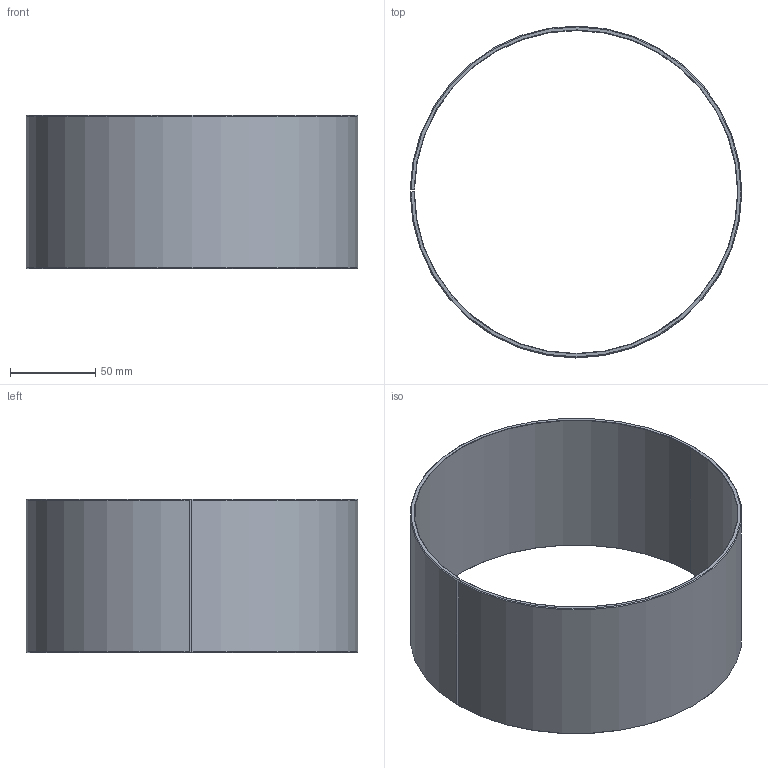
import cadquery as cq
import math

OUTER_DIAMETER = 195.0
WALL_THICKNESS = 2.5
HEIGHT = 90.0
OUTER_CHAMFER = 0.5
INNER_CHAMFER = 0.2
GAP_ANGLE = 1.0

FULL_TURN = 360.0

outer_radius = OUTER_DIAMETER / 2
inner_radius = outer_radius - WALL_THICKNESS


def make_ring():
    """Thin cylindrical band, chamfered on all four circular rims."""
    wall_section = (
        cq.Workplane("XZ")
        .moveTo(inner_radius + INNER_CHAMFER, 0)
        .lineTo(outer_radius - OUTER_CHAMFER, 0)
        .lineTo(outer_radius, OUTER_CHAMFER)
        .lineTo(outer_radius, HEIGHT - OUTER_CHAMFER)
        .lineTo(outer_radius - OUTER_CHAMFER, HEIGHT)
        .lineTo(inner_radius + INNER_CHAMFER, HEIGHT)
        .lineTo(inner_radius, HEIGHT - INNER_CHAMFER)
        .lineTo(inner_radius, INNER_CHAMFER)
        .close()
    )
    return wall_section.revolve(FULL_TURN, (0, 0, 0), (0, 1, 0))


def make_gap():
    """Full-height radial wedge through the -X wall, from the XZ plane towards +Y."""
    wedge_length = OUTER_DIAMETER
    wedge_width = wedge_length * math.tan(math.radians(GAP_ANGLE))
    return (
        cq.Workplane("XY")
        .lineTo(-wedge_length, 0)
        .lineTo(-wedge_length, wedge_width)
        .close()
        .extrude(HEIGHT)
    )


result = make_ring().cut(make_gap())